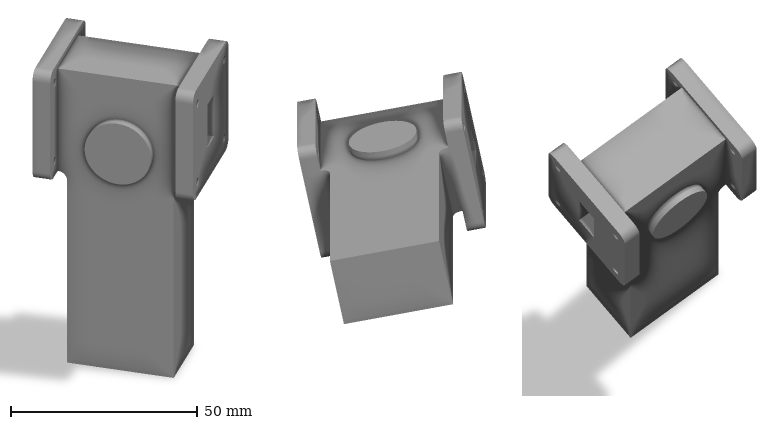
import cadquery as cq

total_height = 91.8
total_length = 45.0

flange_size = 33.3
flange_thickness = 5.0
flange_corner_radius = 2.8
bolt_hole_diameter = 2.3
bolt_spacing_y = 25.2
bolt_spacing_z = 24.1

body_depth = 19.1
shaft_width = 29.9
head_drop = 1.8
shoulder_radius = 2.5
selection_margin = 0.1

channel_width = 6.5
channel_height = 13.0

boss_diameter = 18.55
boss_height = 2.5

flange_bottom = total_height - flange_size
flange_center_z = total_height - flange_size / 2
head_length = total_length - 2 * flange_thickness
head_height = flange_size - head_drop
boss_center_z = flange_bottom + boss_diameter / 2


def make_flange(start_x):
    """Rounded square plate with four bolt holes, growing toward +X from start_x."""
    return (
        cq.Workplane("YZ", origin=(start_x, 0, flange_center_z))
        .rect(flange_size, flange_size)
        .extrude(flange_thickness)
        .edges("|X")
        .fillet(flange_corner_radius)
        .faces(">X")
        .workplane(centerOption="CenterOfBoundBox")
        .rect(bolt_spacing_y, bolt_spacing_z, forConstruction=True)
        .vertices()
        .hole(bolt_hole_diameter)
    )


def make_body():
    """Head and shaft joined by concave rounded shoulders."""
    head = (
        cq.Workplane("XY", origin=(0, 0, flange_bottom))
        .box(head_length, body_depth, head_height, centered=(True, True, False))
    )
    shaft = (
        cq.Workplane("XY")
        .box(shaft_width, body_depth, flange_bottom, centered=(True, True, False))
    )
    inner_corners = cq.selectors.BoxSelector(
        (-shaft_width / 2 - selection_margin, -body_depth, flange_bottom - selection_margin),
        (shaft_width / 2 + selection_margin, body_depth, flange_bottom + selection_margin),
    )
    return head.union(shaft).edges("|Y").edges(inner_corners).fillet(shoulder_radius)


bosses = (
    cq.Workplane("XZ", origin=(0, 0, boss_center_z))
    .circle(boss_diameter / 2)
    .extrude(body_depth / 2 + boss_height, both=True)
)

channel = (
    cq.Workplane("XY", origin=(0, 0, flange_center_z))
    .box(total_length, channel_width, channel_height)
)

result = (
    make_body()
    .union(bosses)
    .union(make_flange(-total_length / 2))
    .union(make_flange(total_length / 2 - flange_thickness))
    .cut(channel)
)